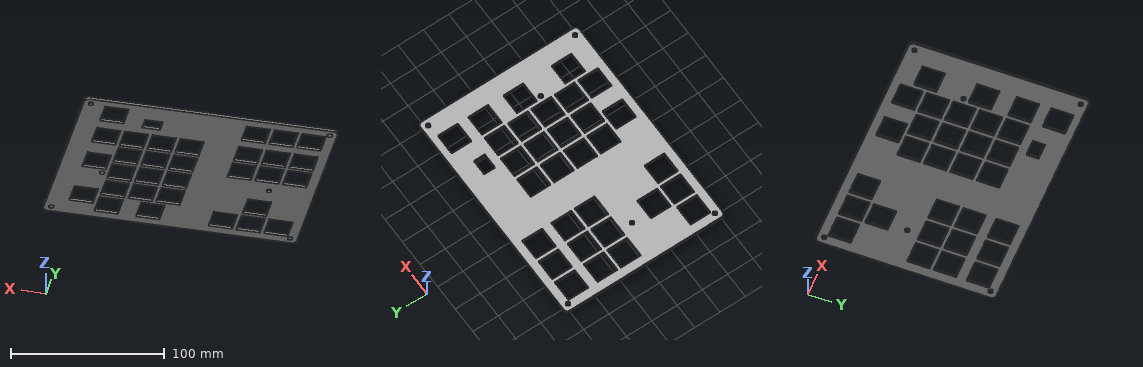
import cadquery as cq

length = 169.0
width = 126.0
thickness = 2.0
corner_radius = 3.2

screw_diameter = 3.0
corner_inset = 4.9
inner_screw_points = [(-54.6, -10.0), (55.6, -14.4)]

key_size = 15.5
pad_rows = 5
pad_columns = 3
pad_span = 74.0
key_pitch = pad_span / (pad_rows - 1)

left_columns = 3
left_block_x = -69.6
function_row_y = 48.3
arrow_row_y = -48.3

pad_x = 6.5
corner_key_y = 49.3
enter_key_y = -40.5

main_row_y = 25.4

window_width = 11.7
window_height = 8.5
window_center = (35.3, 44.3)


def grid_points(columns, rows):
    """Return the centre of every opening in a full grid of columns and rows."""
    return [(x, y) for x in columns for y in rows]


def left_key_points():
    """Return the function row, the two rows below it and the arrow keys."""
    columns = [left_block_x + index * key_pitch for index in range(left_columns)]
    rows = [function_row_y, main_row_y, main_row_y - key_pitch, arrow_row_y]
    up_arrow = (columns[1], arrow_row_y + key_pitch)
    return grid_points(columns, rows) + [up_arrow]


def right_key_points():
    """Return the number pad and the column of single keys at its right."""
    columns = [pad_x + index * key_pitch for index in range(pad_columns)]
    rows = [main_row_y - index * key_pitch for index in range(pad_rows)]
    full_rows = rows[:-1]

    wide_key_x = (columns[0] + columns[1]) / 2
    last_row = grid_points([wide_key_x, columns[-1]], [rows[-1]])

    edge_column_x = columns[-1] + key_pitch
    tall_key_y = (rows[1] + rows[2]) / 2
    edge_keys = grid_points([edge_column_x], [corner_key_y, main_row_y, tall_key_y, enter_key_y])

    return grid_points(columns, full_rows) + last_row + edge_keys


def rectangle_cutters(points, size_x, size_y):
    """Return rectangular through-cutters centred on the given points."""
    return cq.Workplane("XY").pushPoints(points).rect(size_x, size_y).extrude(thickness)


def screw_cutters():
    """Return round through-cutters for the four corners and two inner screws."""
    corner_x = length / 2 - corner_inset
    corner_y = width / 2 - corner_inset
    points = grid_points([-corner_x, corner_x], [-corner_y, corner_y]) + inner_screw_points
    return cq.Workplane("XY").pushPoints(points).circle(screw_diameter / 2).extrude(thickness)


plate = (
    cq.Workplane("XY")
    .box(length, width, thickness, centered=(True, True, False))
    .edges("|Z")
    .fillet(corner_radius)
)

result = (
    plate
    .cut(rectangle_cutters(left_key_points() + right_key_points(), key_size, key_size))
    .cut(rectangle_cutters([window_center], window_width, window_height))
    .cut(screw_cutters())
)